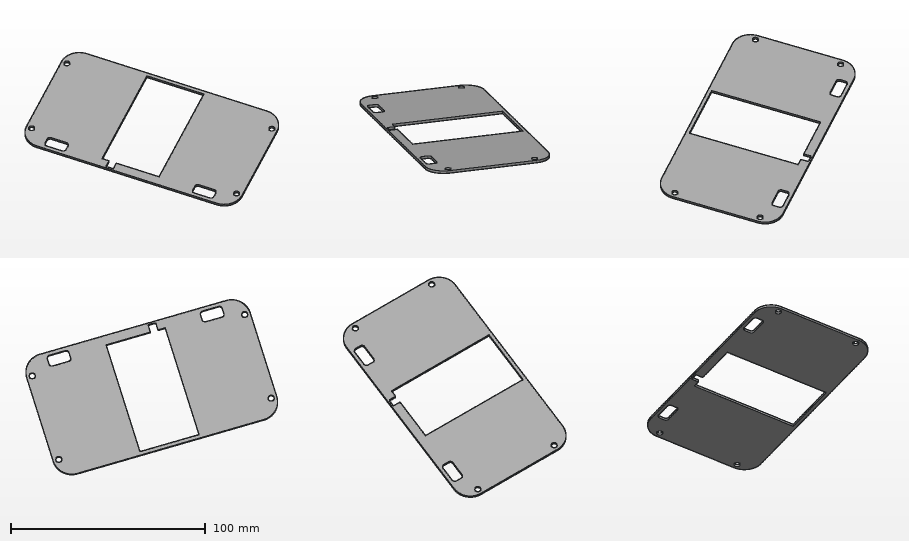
import cadquery as cq

LENGTH = 120.0
WIDTH = 67.0
THICKNESS = 1.5
CORNER_RADIUS = 10.0

HOLE_DIAMETER = 3.1
HOLE_SPACING_X = 114.0
HOLE_SPACING_Y = 47.0

WINDOW_LENGTH = 31.7
WINDOW_WIDTH = 60.0
WINDOW_TOP_MARGIN = 1.9

NOTCH_LENGTH = 4.1
NOTCH_DEPTH = 4.1
NOTCH_OFFSET = 3.8
NOTCH_RADIUS = 0.5

SLOT_LENGTH = 11.6
SLOT_WIDTH = 6.0
SLOT_RADIUS = 1.5
SLOT_SPACING = 82.2
SLOT_BOTTOM_MARGIN = 1.9

window_top = WIDTH / 2 - WINDOW_TOP_MARGIN
window_bottom = window_top - WINDOW_WIDTH
slot_y = -WIDTH / 2 + SLOT_BOTTOM_MARGIN + SLOT_WIDTH / 2


def block(length, width, x, y):
    """Full-thickness block centred at (x, y), standing on Z = 0."""
    return cq.Workplane("XY").center(x, y).rect(length, width).extrude(THICKNESS)


def make_plate():
    return block(LENGTH, WIDTH, 0, 0).edges("|Z").fillet(CORNER_RADIUS)


def make_screw_holes():
    return (
        cq.Workplane("XY")
        .rect(HOLE_SPACING_X, HOLE_SPACING_Y, forConstruction=True)
        .vertices()
        .circle(HOLE_DIAMETER / 2)
        .extrude(THICKNESS)
    )


def make_window():
    return block(WINDOW_LENGTH, WINDOW_WIDTH, 0, window_top - WINDOW_WIDTH / 2)


def make_notch():
    x = -WINDOW_LENGTH / 2 + NOTCH_OFFSET + NOTCH_LENGTH / 2
    notch = block(NOTCH_LENGTH, NOTCH_DEPTH, x, window_bottom - NOTCH_DEPTH / 2)
    return notch.edges("|Z").edges("<X").edges("<Y").fillet(NOTCH_RADIUS)


def make_slot(side):
    slot = block(SLOT_LENGTH, SLOT_WIDTH, side * SLOT_SPACING / 2, slot_y)
    return slot.edges("|Z").fillet(SLOT_RADIUS)


result = make_plate().cut(make_screw_holes()).cut(make_window()).cut(make_notch())
for side in (-1, 1):
    result = result.cut(make_slot(side))